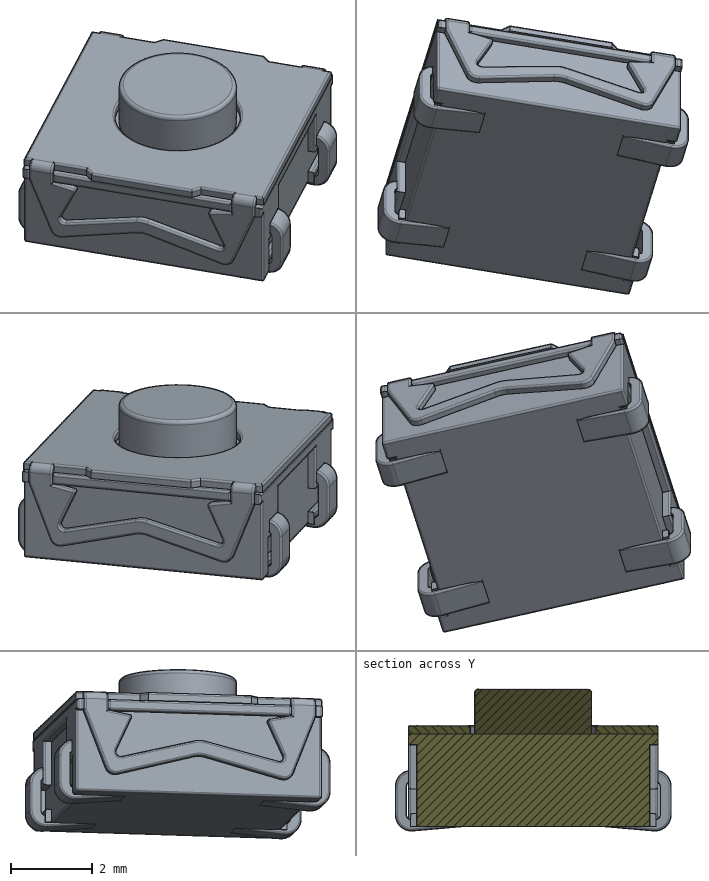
import cadquery as cq
import math


edge_round = 0.05
overlap = 0.07
tolerance = 0.001

width = 6.16
base_bottom = 0.11
base_top = 2.395
body_depth = 5.835
shoulder_bottom = 2.13

recess_depth = 0.205
window_half_width = 1.59
window_top = 2.12
niche_half_width = 2.41
niche_top = 1.04
block_top = 0.43

cover_top = 2.6
cover_depth = 6.2
hole_radius = 1.55
tongue_half_width = 1.29

clip_thickness = (cover_depth - body_depth) / 2
bend_radius = cover_top - base_top
root_depth = 0.1
upright_inner_x = 2.3
upright_outer_x = 2.905
upright_bottom = 2.13
strap_bottom_corner = (2.265, 0.49)
strap_bottom_middle = 1.08
hook_root_z = 2.13
hook_tip = (1.685, 2.01)
opening_bottom_corner = (2.195, 0.92)
opening_bottom_middle = 1.455
strap_corner_radius = 0.25
opening_corner_radius = 0.115
middle_radius = 0.61
hook_tip_radius = 0.055

button_radius = 1.45
button_top = 3.5
button_round = 0.1

terminal_span = 6.8
terminal_pitch = 4.0
terminal_width = 0.715
terminal_thickness = 0.27
terminal_top = 1.495
terminal_bend_radius = 0.4
foot_angle = 5.0
foot_length = 1.225


def box(x_range, y_range, z_range):
    """Axis-aligned box from (low, high) pairs."""
    size = [high - low for low, high in (x_range, y_range, z_range)]
    corner = cq.Vector(x_range[0], y_range[0], z_range[0])
    return cq.Workplane(cq.Solid.makeBox(*size, corner))


def make_terminal(y):
    """Flat strip through the base, bent down and under at both ends."""
    half_thickness = terminal_thickness / 2
    radius = terminal_bend_radius - half_thickness
    bend_x = terminal_span / 2 - terminal_bend_radius
    strip_z = terminal_top - half_thickness
    upper_bend_z = terminal_top - terminal_bend_radius
    lower_bend_z = terminal_bend_radius

    def on_bend(bend_z, degrees):
        angle = math.radians(degrees)
        return (bend_x + radius * math.cos(angle), bend_z + radius * math.sin(angle))

    foot_start_angle = -90 - foot_angle
    rise = math.radians(foot_angle)
    foot_step = (-foot_length * math.cos(rise), foot_length * math.sin(rise))
    path = (
        cq.Workplane("XZ", origin=(0, y, 0))
        .moveTo(0, strip_z)
        .lineTo(*on_bend(upper_bend_z, 90))
        .threePointArc(on_bend(upper_bend_z, 45), on_bend(upper_bend_z, 0))
        .lineTo(*on_bend(lower_bend_z, 0))
        .threePointArc(on_bend(lower_bend_z, foot_start_angle / 2), on_bend(lower_bend_z, foot_start_angle))
        .line(*foot_step)
    )
    section = cq.Sketch().rect(terminal_width, terminal_thickness).vertices(">Y").fillet(edge_round)
    half_strip = cq.Workplane("YZ", origin=(0, y, strip_z)).placeSketch(section).sweep(path)
    return half_strip.union(half_strip.mirror("YZ"))


def make_side_recess():
    """Cutting tool for the recess in the -X side."""
    x_range = (-width / 2 - overlap, recess_depth - width / 2)
    low_z = base_bottom - overlap
    window = box(x_range, (-window_half_width, window_half_width), (low_z, window_top))
    niche = box(x_range, (-niche_half_width, niche_half_width), (low_z, niche_top))
    return window.union(niche)


def make_support_block(y_range):
    """Block on the floor of the -X recess, set back from the outer face by the edge rounding."""
    x_range = (edge_round - width / 2, recess_depth - width / 2)
    block = box(x_range, y_range, (base_bottom, block_top))
    return block.faces("<X").edges(">Z").fillet(edge_round)


def make_base(terminals):
    half_width = width / 2
    half_body = body_depth / 2
    body = box((-half_width, half_width), (-half_body, half_body), (base_bottom, base_top))
    shoulder = box((-half_width, half_width), (-half_width, half_width), (shoulder_bottom, base_top))
    base = body.union(shoulder)

    for sign in (-1, 1):
        x_range = sorted((sign * upright_inner_x, sign * upright_outer_x))
        for y_range in ((-half_width - overlap, -half_body), (half_body, half_width + overlap)):
            base = base.cut(box(x_range, y_range, (shoulder_bottom - overlap, base_top + overlap)))

    recess = make_side_recess()
    base = base.cut(recess).cut(recess.mirror("YZ"))

    def is_rounded(edge):
        """True for outer edges and recess mouths, except the front edges of the four corner tabs.

        The tabs at -X are also rounded beside the slots.
        """
        middle = edge.Center()
        x, y, z = middle.x, abs(middle.y), middle.z
        if abs(abs(x) - half_width) < tolerance or abs(z - base_bottom) < tolerance:
            return True
        on_front = abs(y - half_width) < tolerance
        on_band = abs(x) < upright_inner_x + tolerance
        left_slot_edge = abs(x + upright_outer_x) < tolerance
        return on_front and (on_band or left_slot_edge)

    base = base.edges().filter(is_rounded).fillet(edge_round)
    for y_range in ((-niche_half_width, -window_half_width), (window_half_width, niche_half_width)):
        block = make_support_block(y_range)
        base = base.union(block).union(block.mirror("YZ"))
    for terminal in terminals:
        base = base.cut(terminal)
    return base


def make_cover_plate():
    half_width = width / 2
    half_body = body_depth / 2
    half_depth = cover_depth / 2
    notch_x = tongue_half_width + half_depth - half_body
    thickness = cover_top - base_top
    plate = (
        cq.Workplane("XY", origin=(0, 0, base_top))
        .moveTo(half_width, -half_body)
        .lineTo(half_width, half_body)
        .lineTo(notch_x, half_body)
        .lineTo(tongue_half_width, half_depth)
        .lineTo(-tongue_half_width, half_depth)
        .lineTo(-notch_x, half_body)
        .lineTo(-half_width, half_body)
        .lineTo(-half_width, -half_body)
        .lineTo(-notch_x, -half_body)
        .lineTo(-tongue_half_width, -half_depth)
        .lineTo(tongue_half_width, -half_depth)
        .lineTo(notch_x, -half_body)
        .close()
        .extrude(thickness)
    )
    hole = cq.Workplane("XY", origin=(0, 0, base_top)).circle(hole_radius).extrude(thickness)
    return plate.cut(hole).faces(">Z").edges().fillet(edge_round)


def round_corner_pair(clip, corner, radius):
    """Round the Y edges of the clip at an (x, z) corner and at its mirror image in X."""
    def is_corner(edge):
        middle = edge.Center()
        return math.dist((abs(middle.x), middle.z), corner) < tolerance

    return clip.edges("|Y").filter(is_corner).fillet(radius)


def make_clip():
    """Clip on the -Y side: two uprights joined by a bent strap, rounded on the outside."""
    def mirrored(points):
        return [(-x, z) for x, z in reversed(points)]

    outer = [
        (upright_outer_x, cover_top),
        (upright_outer_x, upright_bottom),
        strap_bottom_corner,
    ]
    inner = [
        opening_bottom_corner,
        hook_tip,
        (upright_inner_x, hook_root_z),
        (upright_inner_x, cover_top),
    ]
    outline = (
        outer
        + [(0, strap_bottom_middle)]
        + mirrored(outer)
        + mirrored(inner)
        + [(0, opening_bottom_middle)]
        + inner
    )
    clip = (
        cq.Workplane("XZ", origin=(0, -body_depth / 2, 0))
        .polyline(outline).close()
        .extrude(clip_thickness)
    )

    corner_radii = [
        (strap_bottom_corner, strap_corner_radius),
        ((0, strap_bottom_middle), middle_radius),
        (opening_bottom_corner, opening_corner_radius),
        ((0, opening_bottom_middle), middle_radius),
        (hook_tip, hook_tip_radius),
    ]
    for corner, radius in corner_radii:
        clip = round_corner_pair(clip, corner, radius)

    for x_range in ((-upright_outer_x, -upright_inner_x), (upright_inner_x, upright_outer_x)):
        y_range = (-body_depth / 2, root_depth - body_depth / 2)
        clip = clip.union(box(x_range, y_range, (base_top, cover_top)))

    clip = clip.faces("<Y").edges(">Z").fillet(bend_radius)
    return clip.faces("<Y").edges().fillet(edge_round)


def make_cover():
    clip = make_clip()
    return make_cover_plate().union(clip).union(clip.mirror("XZ"))


def make_button():
    return (
        cq.Workplane("XY", origin=(0, 0, base_top))
        .circle(button_radius)
        .extrude(button_top - base_top)
        .faces(">Z").edges().fillet(button_round)
    )


terminals = [make_terminal(y) for y in (-terminal_pitch / 2, terminal_pitch / 2)]
base = make_base(terminals)
cover = make_cover()
button = make_button()

result = cq.Compound.makeCompound(
    [base.val(), cover.val(), button.val(), *[terminal.val() for terminal in terminals]]
)